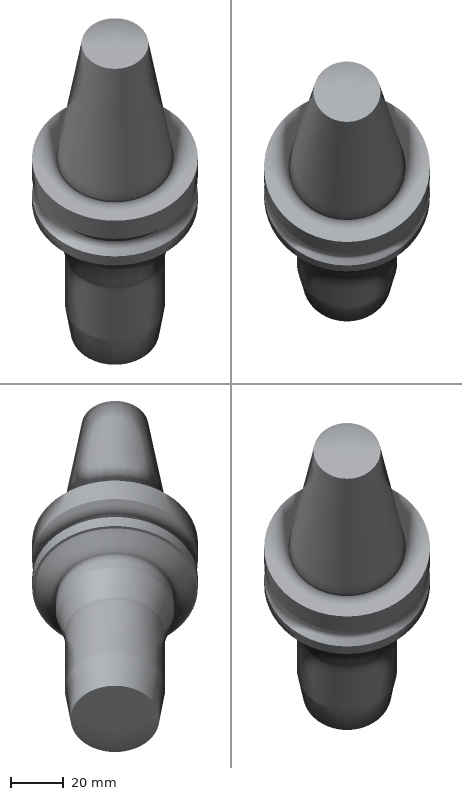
import cadquery as cq

total_height = 167.0

nose_tip_diameter = 33.7
body_diameter = 38.0
collar_diameter = 45.0
flange_diameter = 63.0
flange_cone_diameter = 60.6
groove_diameter = 53.0
shank_large_diameter = 44.5
shank_small_diameter = 25.4

nose_top = 16.5
body_top = 47.3
collar_bottom = 61.3
collar_top = 68.8
lower_flange_bottom = 74.6
lower_flange_top = 79.8
groove_bottom = 82.8
groove_top = 87.2
upper_flange_bottom = 90.0
upper_flange_top = 100.5
shank_bottom = 101.5

stations = [
    (nose_tip_diameter, 0),
    (body_diameter, nose_top),
    (body_diameter, body_top),
    (collar_diameter, collar_bottom),
    (collar_diameter, collar_top),
    (flange_cone_diameter, lower_flange_bottom),
    (flange_diameter, lower_flange_bottom),
    (flange_diameter, lower_flange_top),
    (groove_diameter, groove_bottom),
    (groove_diameter, groove_top),
    (flange_diameter, upper_flange_bottom),
    (flange_diameter, upper_flange_top),
    (shank_large_diameter, upper_flange_top),
    (shank_large_diameter, shank_bottom),
    (shank_small_diameter, total_height),
]

outline = [(diameter / 2, height) for diameter, height in stations]
axis_bottom = (0, 0)
axis_top = (0, total_height)

result = (
    cq.Workplane("XZ")
    .polyline([axis_bottom] + outline + [axis_top])
    .close()
    .revolve(360, axis_bottom, axis_top)
)